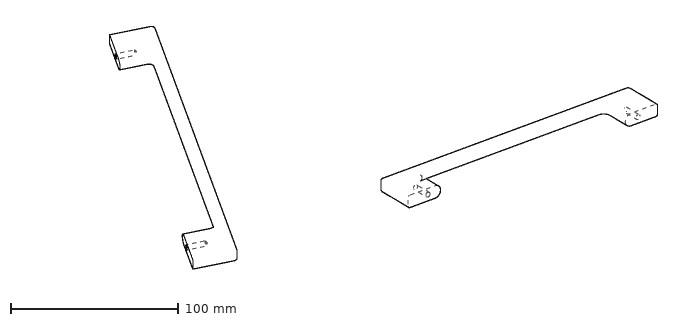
import cadquery as cq
import math

length = 190.0
depth = 28.0
thickness = 8.5

leg_width = 24.7
grip_width = 8.0
inner_corner_radius = 2.8
outer_corner_radius = 2.3
edge_round = 1.3

hole_diameter = 3.2
hole_depth = 12.0
hole_inset = 15.0
drill_tip_angle = 118.0

nose_radius = thickness / 2
half_length = length / 2
nose_center_x = half_length - leg_width + nose_radius
nose_center_y = depth - grip_width + nose_radius
nose_corner_radius = inner_corner_radius + nose_radius


def make_flat_body():
    """U-shaped plate, ending where the rounded inner edge begins."""
    outer = (
        cq.Workplane("XY")
        .box(length, depth, thickness, centered=(True, False, True))
        .edges("|Z and >Y")
        .fillet(outer_corner_radius)
        .faces("<X or >X or >Y")
        .edges("(>Z or <Z) and (not <Y)")
        .fillet(edge_round)
    )
    opening = (
        cq.Workplane("XY")
        .box(2 * nose_center_x, nose_center_y, thickness, centered=(True, False, True))
        .edges("|Z and >Y")
        .fillet(nose_corner_radius)
    )
    return outer.cut(opening)


def make_rounded_inner_edge():
    """Half-round section swept around the inside of the U."""
    corner_start_y = nose_center_y - nose_corner_radius
    corner_end_x = nose_center_x - nose_corner_radius
    path = (
        cq.Workplane("XY")
        .moveTo(-nose_center_x, 0)
        .lineTo(-nose_center_x, corner_start_y)
        .tangentArcPoint((-corner_end_x, nose_center_y), relative=False)
        .lineTo(corner_end_x, nose_center_y)
        .tangentArcPoint((nose_center_x, corner_start_y), relative=False)
        .lineTo(nose_center_x, 0)
    )
    return (
        cq.Workplane("XZ")
        .moveTo(-nose_center_x, -nose_radius)
        .threePointArc((-nose_center_x + nose_radius, 0), (-nose_center_x, nose_radius))
        .close()
        .sweep(path)
    )


def make_screw_hole(hole_x):
    """Blind hole with a conical drill tip, running in from the mounting face."""
    radius = hole_diameter / 2
    tip_length = radius / math.tan(math.radians(drill_tip_angle / 2))
    return (
        cq.Workplane("XY")
        .moveTo(hole_x, 0)
        .lineTo(hole_x + radius, 0)
        .lineTo(hole_x + radius, hole_depth)
        .lineTo(hole_x, hole_depth + tip_length)
        .close()
        .revolve(360, (hole_x, 0, 0), (hole_x, 1, 0))
    )


result = make_flat_body().union(make_rounded_inner_edge())
for side in (-1, 1):
    result = result.cut(make_screw_hole(side * (half_length - hole_inset)))